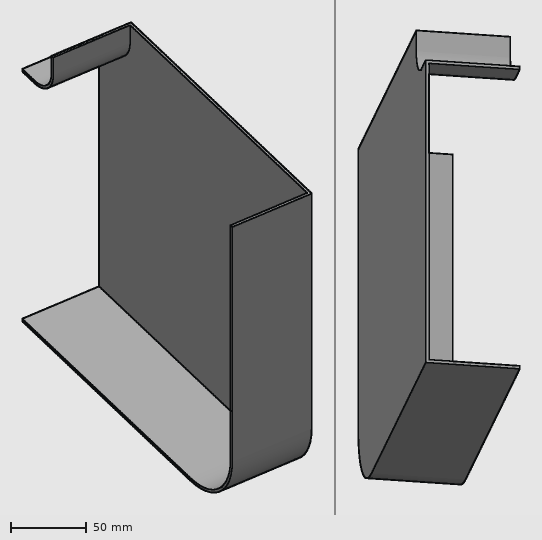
import cadquery as cq
import math

outer_side = 250.9
duct_depth = 63.4
sheet = 2.2
notch = 35.0
outer_radius = 50.0
throat_radius = 20.0

diagonal = math.sqrt(0.5)


def elbow_outline(inset):
    """Elbow profile in XZ with its two curved walls moved inwards by inset."""
    right = outer_side - inset
    bottom = inset
    throat_x = notch + inset
    throat_z = outer_side - notch - inset

    bend = outer_radius - inset
    bend_x = right - bend
    bend_z = bottom + bend

    throat = throat_radius + inset
    throat_center_x = throat_x - throat
    throat_center_z = throat_z + throat

    return (
        cq.Workplane("XZ")
        .moveTo(0, bottom)
        .lineTo(bend_x, bottom)
        .threePointArc(
            (bend_x + bend * diagonal, bend_z - bend * diagonal),
            (right, bend_z),
        )
        .lineTo(right, outer_side)
        .lineTo(throat_x, outer_side)
        .lineTo(throat_x, throat_center_z)
        .threePointArc(
            (throat_center_x + throat * diagonal, throat_center_z - throat * diagonal),
            (throat_center_x, throat_z),
        )
        .lineTo(0, throat_z)
        .close()
    )


def elbow_solid(inset, depth):
    """Elbow profile extruded from the front face (Y = 0) towards +Y."""
    return elbow_outline(inset).extrude(-depth)


body = elbow_solid(0, duct_depth)

channel = elbow_solid(sheet, duct_depth - sheet)

result = body.cut(channel)